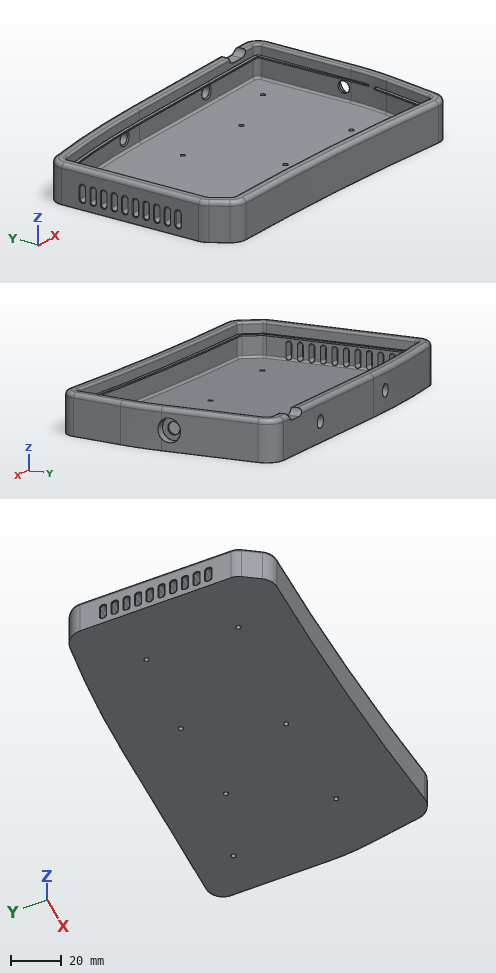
import cadquery as cq
import math

LENGTH = 149.4
WIDTH = 97.9
HEIGHT = 17.6

BACK_ARC_START = (62.7, WIDTH)
BACK_RIGHT = (LENGTH, WIDTH)
SIDE_BEND = (LENGTH, 38.2)
FRONT_RIGHT = (142.8, -0.7)
FRONT_LEFT = (7.9, 6.9)
CHAMFER_TOP = (0.0, 19.1)
BACK_LEFT = (0.0, 93.4)
CORNER_RADIUS = 7.5
SIDE_BEND_RADIUS = 113.5

INNER_FILLET = 1.0
RIM_FILLET = 2 * INNER_FILLET
RIM_FLAT = RIM_FILLET
WALL = RIM_FILLET + RIM_FLAT + INNER_FILLET
FLOOR = 3.0

LIP_WIDTH = 1.5
LIP_THICKNESS = 0.6
LIP_TOP = HEIGHT - 4.8
LIP_INSET = WALL + LIP_WIDTH

RELIEF_WIDTH = 0.7
RELIEF_FULL_Y = 38.8
RELIEF_END_Y = 35.3

FLOOR_HOLE_DIAMETER = 2.0
FLOOR_HOLES = [
    (24.5, 69.3),
    (62.6, 72.0),
    (100.7, 70.0),
    (131.2, 80.8),
    (24.5, 29.5),
    (77.8, 33.3),
    (121.3, 31.7),
]

SLOT_COUNT = 10
SLOT_PITCH = 5.1
SLOT_WIDTH = 2.5
SLOT_HEIGHT = 7.6
SLOT_CHAMFER = 0.3
SLOT_Z = 7.0
SLOT_FIRST_Y = 31.2

HOLE_Z = 8.7
HOLE_DIAMETER = 5.4
BACK_HOLES_X = (52.3, 109.5)
BACK_HOLE_CHAMFER = 0.52
SIDE_HOLE_Y = 51.2
SIDE_RECESS_DIAMETER = 10.0
SIDE_RECESS_DEPTH = 4.0

NOTCH_X = 131.0
NOTCH_WIDTH = 11.4
NOTCH_DEPTH = 2.8
NOTCH_FILLET = NOTCH_DEPTH - 0.07


def arc_point(start, end):
    """Return a point on the arc that leaves start along X and reaches end."""
    run = end[0] - start[0]
    rise = end[1] - start[1]
    radius = (run**2 + rise**2) / (2 * rise)
    half_sweep = math.atan2(rise, abs(run))
    return (
        start[0] + math.copysign(radius * math.sin(half_sweep), run),
        start[1] + radius * (1 - math.cos(half_sweep)),
    )


def sharp_outline():
    return (
        cq.Workplane("XY")
        .moveTo(*BACK_ARC_START)
        .lineTo(*BACK_RIGHT)
        .lineTo(*SIDE_BEND)
        .lineTo(*FRONT_RIGHT)
        .threePointArc(arc_point(FRONT_LEFT, FRONT_RIGHT), FRONT_LEFT)
        .lineTo(*CHAMFER_TOP)
        .lineTo(*BACK_LEFT)
        .threePointArc(arc_point(BACK_ARC_START, BACK_LEFT), BACK_ARC_START)
        .close()
    )


def upright_edge(corner):
    return cq.selectors.NearestToPointSelector((*corner, HEIGHT / 2))


def outer_block():
    block = sharp_outline().extrude(HEIGHT)
    for corner in (BACK_RIGHT, FRONT_RIGHT, FRONT_LEFT, CHAMFER_TOP, BACK_LEFT):
        block = block.edges(upright_edge(corner)).fillet(CORNER_RADIUS)
    return block.edges(upright_edge(SIDE_BEND)).fillet(SIDE_BEND_RADIUS)


def cavity(block):
    inner = block.faces("<Z").wires().val().offset2D(-WALL, "arc")[0]
    prism = cq.Solid.extrudeLinear(inner, [], cq.Vector(0, 0, HEIGHT))
    return cq.Workplane(prism).translate((0, 0, FLOOR)).edges("<Z").fillet(INNER_FILLET)


def lip(space):
    """Thin sharp-cornered ledge that fills the edge of the cavity just below the rim."""
    opening = sharp_outline().offset2D(-LIP_INSET, "intersection").extrude(LIP_THICKNESS)
    lip_x = LENGTH - LIP_INSET
    relief = (
        cq.Workplane("XY")
        .moveTo(lip_x, WIDTH - LIP_INSET)
        .lineTo(lip_x + RELIEF_WIDTH, RELIEF_FULL_Y)
        .lineTo(LENGTH, RELIEF_FULL_Y)
        .lineTo(LENGTH, RELIEF_END_Y)
        .lineTo(lip_x - LIP_INSET, RELIEF_END_Y)
        .lineTo(lip_x - LIP_INSET, WIDTH - LIP_INSET)
        .close()
        .extrude(LIP_THICKNESS)
    )
    slab = sharp_outline().offset2D(-WALL / 2, "intersection").extrude(LIP_THICKNESS)
    ring = slab.cut(opening).cut(relief).translate((0, 0, LIP_TOP - LIP_THICKNESS))
    return ring.intersect(space)


def hollow_tray():
    block = outer_block()
    space = cavity(block)
    tray = block.faces(">Z").edges().fillet(RIM_FILLET).cut(space)
    rim_inner_edges = tray.faces(">Z").val().innerWires()[0].Edges()
    tray = tray.newObject(rim_inner_edges).fillet(INNER_FILLET)
    return tray.union(lip(space))


def round_hole(diameter, start, direction, depth):
    hole = cq.Solid.makeCylinder(diameter / 2, depth, cq.Vector(*start), cq.Vector(*direction))
    return cq.Workplane(hole)


def cut_floor_holes(tray):
    holes = cq.Workplane("XY").pushPoints(FLOOR_HOLES).circle(FLOOR_HOLE_DIAMETER / 2).extrude(FLOOR)
    return tray.cut(holes)


def cut_vent_slots(tray):
    """Row of upright slots, chamfered on the outside."""
    centers = [(SLOT_FIRST_Y + i * SLOT_PITCH, SLOT_Z) for i in range(SLOT_COUNT)]
    profile = cq.Workplane("YZ").pushPoints(centers).slot2D(SLOT_HEIGHT, SLOT_WIDTH, 90)
    tray = tray.cut(profile.extrude(WALL + INNER_FILLET))
    outer_edges = [edge for wire in tray.faces("<X").val().innerWires() for edge in wire.Edges()]
    return tray.newObject(outer_edges).chamfer(SLOT_CHAMFER)


def cut_back_holes(tray):
    """Round holes through the back wall, chamfered on the inside."""
    reach = WALL + INNER_FILLET
    for x in BACK_HOLES_X:
        tray = tray.cut(round_hole(HOLE_DIAMETER, (x, WIDTH, HOLE_Z), (0, -1, 0), reach))
        inner_edge = cq.selectors.NearestToPointSelector((x, WIDTH - WALL, HOLE_Z))
        tray = tray.edges(inner_edge).chamfer(BACK_HOLE_CHAMFER)
    return tray


def cut_side_hole(tray):
    """Round hole through the right wall, recessed from the outside."""
    start = (LENGTH, SIDE_HOLE_Y, HOLE_Z)
    tray = tray.cut(round_hole(HOLE_DIAMETER, start, (-1, 0, 0), WALL + INNER_FILLET))
    return tray.cut(round_hole(SIDE_RECESS_DIAMETER, start, (-1, 0, 0), SIDE_RECESS_DEPTH))


def cut_cable_notch(tray):
    depth_across = 2 * (WALL + INNER_FILLET)
    notch = (
        cq.Workplane("XY")
        .box(NOTCH_WIDTH, depth_across, HEIGHT, centered=(True, True, False))
        .edges("|Y and <Z")
        .fillet(NOTCH_FILLET)
        .translate((NOTCH_X, WIDTH, HEIGHT - NOTCH_DEPTH))
    )
    return tray.cut(notch)


tray = hollow_tray()
tray = cut_floor_holes(tray)
tray = cut_vent_slots(tray)
tray = cut_back_holes(tray)
tray = cut_side_hole(tray)
result = cut_cable_notch(tray)